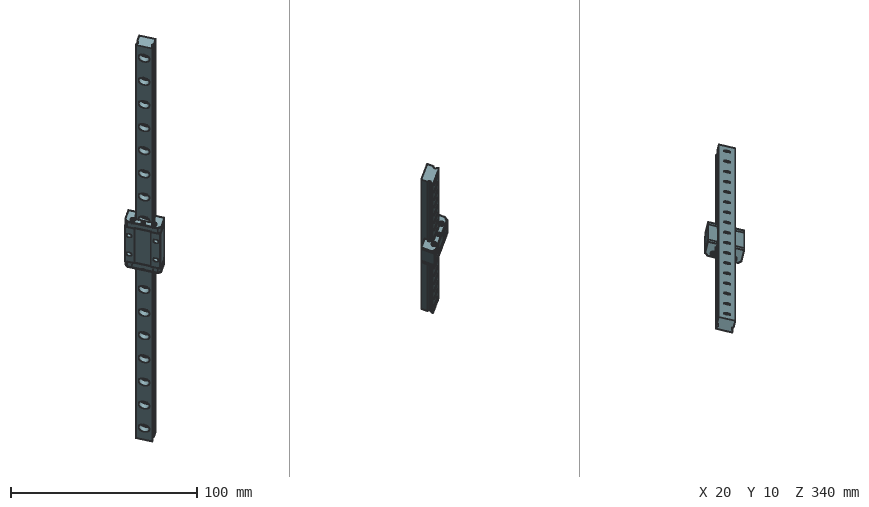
import cadquery as cq

rail_length = 340.0
rail_width = 9.2
rail_height = 6.8
rail_hole_count = 17
rail_hole_pitch = rail_length / rail_hole_count
rail_hole_diameter = 3.5
rail_counterbore_diameter = 6.0
rail_counterbore_depth = 3.5

race_opening = 2.5
race_floor = 0.7
race_depth = 0.85
race_setback = 2.0
race_y = -rail_height + race_setback

carriage_width = 20.0
carriage_cover = 3.2
carriage_back_y = -2.0
carriage_front_y = -rail_height - carriage_cover
channel_clearance = 0.2

block_length = 30.0
block_end_z = block_length / 2
block_chamfer = 0.5
recess_width = 9.2
recess_depth = 0.7
mount_hole_diameter = 3.0
mount_hole_depth = 3.0
mount_spacing_x = 15.0
mount_spacing_z = 16.0

cap_length = 4.0
seal_thickness = 0.7
cap_end_z = block_end_z + cap_length
seal_end_z = cap_end_z + seal_thickness
cap_setback = 0.27
cap_front_y = carriage_front_y + cap_setback
cap_chamfer_x = 1.53
cap_chamfer_y = 1.5

oil_hole_diameter = 1.3
oil_hole_depth = 2.0
oil_counterbore_diameter = 2.0
oil_hole_y = (cap_front_y - rail_height - channel_clearance) / 2

screw_diameter = 2.62
screw_length = 2.0
screw_socket_diameter = 1.3
screw_socket_depth = 0.7
screw_spacing = 12.0
screw_y = -7.8
screw_xs = (-screw_spacing / 2, screw_spacing / 2)
screw_inner_z = seal_end_z - screw_length


def slab(width, y_back, y_front, z_low, z_high):
    """Box centred on X = 0 between two Y planes and two Z planes."""
    base = cq.Workplane("XY", origin=(0, (y_back + y_front) / 2, z_low))
    return base.rect(width, y_back - y_front).extrude(z_high - z_low)


def rod(diameter, x, y, z_low, z_high):
    """Cylinder along Z."""
    return cq.Workplane("XY", origin=(x, y, z_low)).circle(diameter / 2).extrude(z_high - z_low)


def bore(diameter, x, z, y_front, depth):
    """Cylinder along Y that starts at y_front and goes toward +Y."""
    return cq.Workplane("XZ", origin=(x, y_front, z)).circle(diameter / 2).extrude(-depth)


def race_bars(length):
    """Two six-sided bars, each half inside and half outside a side of the rail."""
    bars = cq.Workplane("XY", origin=(0, 0, -length / 2))
    for side_x in (-rail_width / 2, rail_width / 2):
        outline = [
            (side_x - race_depth, race_y - race_floor / 2),
            (side_x, race_y - race_opening / 2),
            (side_x + race_depth, race_y - race_floor / 2),
            (side_x + race_depth, race_y + race_floor / 2),
            (side_x, race_y + race_opening / 2),
            (side_x - race_depth, race_y + race_floor / 2),
        ]
        bars = bars.polyline(outline).close()
    return bars.extrude(length)


def cut_channel(body):
    """Cut the passage for the rail, with its races, through a carriage part."""
    channel_width = rail_width + 2 * channel_clearance
    channel_front_y = -rail_height - channel_clearance
    body = body.cut(slab(channel_width, 0, channel_front_y, -seal_end_z, seal_end_z))
    return body.cut(race_bars(2 * seal_end_z))


def make_rail():
    rail = slab(rail_width, 0, -rail_height, -rail_length / 2, rail_length / 2)
    rail = rail.cut(race_bars(rail_length))
    for index in range(rail_hole_count):
        z = (index - (rail_hole_count - 1) / 2) * rail_hole_pitch
        rail = rail.cut(bore(rail_hole_diameter, 0, z, -rail_height, rail_height))
        rail = rail.cut(bore(rail_counterbore_diameter, 0, z, -rail_height, rail_counterbore_depth))
    return rail


def make_block():
    block = slab(carriage_width, carriage_back_y, carriage_front_y, -block_end_z, block_end_z)
    block = block.edges("|Z and <Y").chamfer(block_chamfer)
    recess_floor_y = carriage_front_y + recess_depth
    block = block.cut(slab(recess_width, recess_floor_y, carriage_front_y, -block_end_z, block_end_z))
    for x in (-mount_spacing_x / 2, mount_spacing_x / 2):
        for z in (-mount_spacing_z / 2, mount_spacing_z / 2):
            block = block.cut(bore(mount_hole_diameter, x, z, carriage_front_y, mount_hole_depth))
    return cut_channel(block)


def end_plate(z_low, z_high):
    """Plate with chamfered front corners, the rail channel and the screw holes."""
    side_x = carriage_width / 2
    front_x = side_x - cap_chamfer_x
    chamfer_back_y = cap_front_y + cap_chamfer_y
    outline = [
        (-side_x, carriage_back_y),
        (side_x, carriage_back_y),
        (side_x, chamfer_back_y),
        (front_x, cap_front_y),
        (-front_x, cap_front_y),
        (-side_x, chamfer_back_y),
    ]
    plate = cq.Workplane("XY", origin=(0, 0, z_low)).polyline(outline).close().extrude(z_high - z_low)
    for x in screw_xs:
        plate = plate.cut(rod(screw_diameter, x, screw_y, screw_inner_z, seal_end_z))
    return cut_channel(plate)


def make_cap():
    cap = end_plate(block_end_z, cap_end_z)
    return cap.cut(rod(oil_hole_diameter, 0, oil_hole_y, cap_end_z - oil_hole_depth, cap_end_z))


def make_seal():
    seal = end_plate(cap_end_z, seal_end_z)
    return seal.cut(rod(oil_counterbore_diameter, 0, oil_hole_y, cap_end_z, seal_end_z))


def make_screw(x):
    screw = rod(screw_diameter, x, screw_y, screw_inner_z, seal_end_z)
    return screw.cut(rod(screw_socket_diameter, x, screw_y, seal_end_z - screw_socket_depth, seal_end_z))


rail = make_rail()
block = make_block()

upper_parts = [make_cap(), make_seal()]
for x in screw_xs:
    upper_parts.append(make_screw(x))
lower_parts = [part.mirror("XY") for part in upper_parts]

bodies = [rail, block, *upper_parts, *lower_parts]
result = cq.Compound.makeCompound([body.val() for body in bodies])